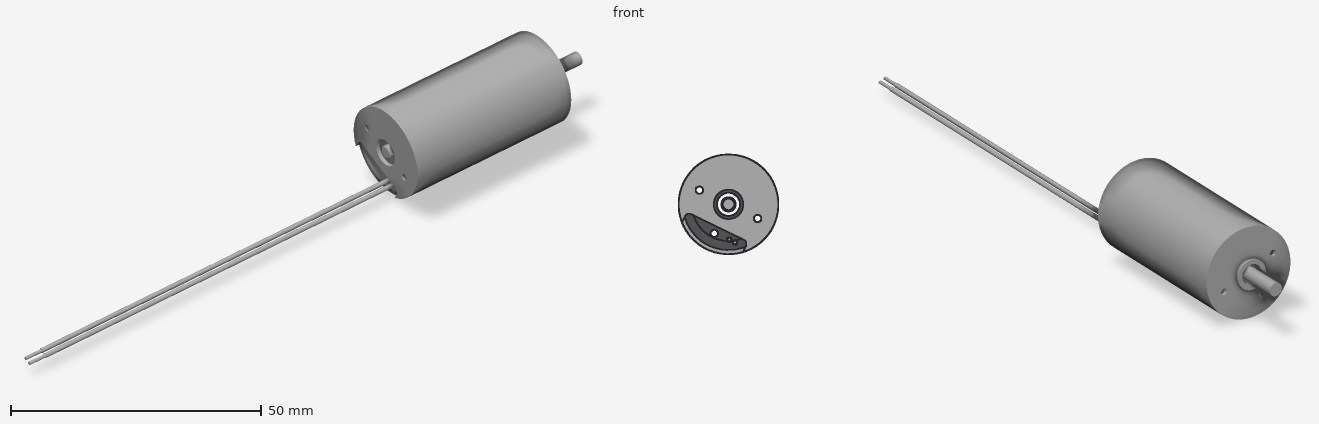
import cadquery as cq
import math


body_diameter = 20.0
body_length = 40.0
can_wall = 0.9
can_bore = body_diameter - 2 * can_wall

rim_thickness = 0.9
spigot_length = 1.2
spigot_bore = 14.7

hole_circle_radius = 6.5
hole_diameter = 1.5
hole_count = 3
hole_spacing = 90
first_hole_angle = 154
lowest_hole_angle = first_hole_angle + hole_spacing

shaft_diameter = 2.9
shaft_projection = 10.0
shaft_rear_chamfer = 0.3
bush_diameter = 5.9
bush_bore = 4.6
bush_flange_diameter = 6.6
bush_flange_thickness = 0.36
bush_projection = 1.3

pocket_offset = 5.0
pocket_half_width = 6.8
pocket_corner_radius = 0.9

sheath_diameter = 1.0
core_diameter = 0.7
sheath_reach = 89.6
core_reach = 93.8
wire_centres = [(0.1, -7.0), (1.3, -7.6)]


def rod(diameter, start, end, x=0, z=0):
    """Round bar parallel to Y, from y = start to y = end."""
    section = cq.Workplane("XZ", origin=(x, start, z)).circle(diameter / 2)
    return section.extrude(start - end)


def make_can():
    """Tube between the rims of the two caps."""
    tube = rod(body_diameter, rim_thickness, body_length - rim_thickness)
    return tube.cut(rod(can_bore, 0, body_length))


def make_cap(outer_face, inward):
    """Cap with its outer face at y = outer_face; inward is +1 or -1 along Y."""
    rim_end = outer_face + inward * rim_thickness
    spigot_end = rim_end + inward * spigot_length
    rim = rod(body_diameter, outer_face, rim_end)
    spigot = rod(can_bore, rim_end, spigot_end).cut(rod(spigot_bore, rim_end, spigot_end))
    cap = rim.union(spigot).cut(rod(bush_diameter, outer_face, rim_end))
    for i in range(hole_count):
        angle = math.radians(first_hole_angle + i * hole_spacing)
        x = hole_circle_radius * math.cos(angle)
        z = hole_circle_radius * math.sin(angle)
        cap = cap.cut(rod(hole_diameter, outer_face, rim_end, x, z))
    return cap


def make_pocket():
    """Round-cornered cutter through the rear cap that opens its rim below the lowest hole."""
    width = 2 * pocket_half_width
    thickness = rim_thickness + spigot_length
    height = body_diameter
    tilt_from_down = 270 - lowest_hole_angle
    return (
        cq.Workplane("XY")
        .box(width, thickness, height, centered=(True, False, False))
        .edges("|Y and >Z")
        .fillet(pocket_corner_radius)
        .translate((0, 0, -pocket_offset - height))
        .rotate((0, 0, 0), (0, 1, 0), tilt_from_down)
    )


def make_shaft():
    """Shaft through the whole motor, chamfered at its rear end."""
    shaft_bar = rod(shaft_diameter, 0, body_length + shaft_projection)
    return shaft_bar.faces("<Y").chamfer(shaft_rear_chamfer)


def make_bush():
    """Sleeve in the front cap with a flange at its outer end and a bore clear of the shaft."""
    inner_end = body_length - rim_thickness
    outer_end = body_length + bush_projection
    neck = rod(bush_diameter, inner_end, outer_end)
    flange = rod(bush_flange_diameter, outer_end - bush_flange_thickness, outer_end)
    return neck.union(flange).cut(rod(bush_bore, inner_end, outer_end))


def make_wire(x, z):
    """Sheathed wire with a bare core at its free end."""
    sheath = rod(sheath_diameter, rim_thickness, -sheath_reach, x, z)
    core = rod(core_diameter, -sheath_reach, -core_reach, x, z)
    return sheath.union(core)


can = make_can()
front_cap = make_cap(body_length, -1)
rear_cap = make_cap(0, 1).cut(make_pocket())
shaft = make_shaft()
bush = make_bush()
wires = [make_wire(x, z).val() for x, z in wire_centres]

result = cq.Compound.makeCompound(
    [can.val(), front_cap.val(), rear_cap.val(), shaft.val(), bush.val(), *wires]
)